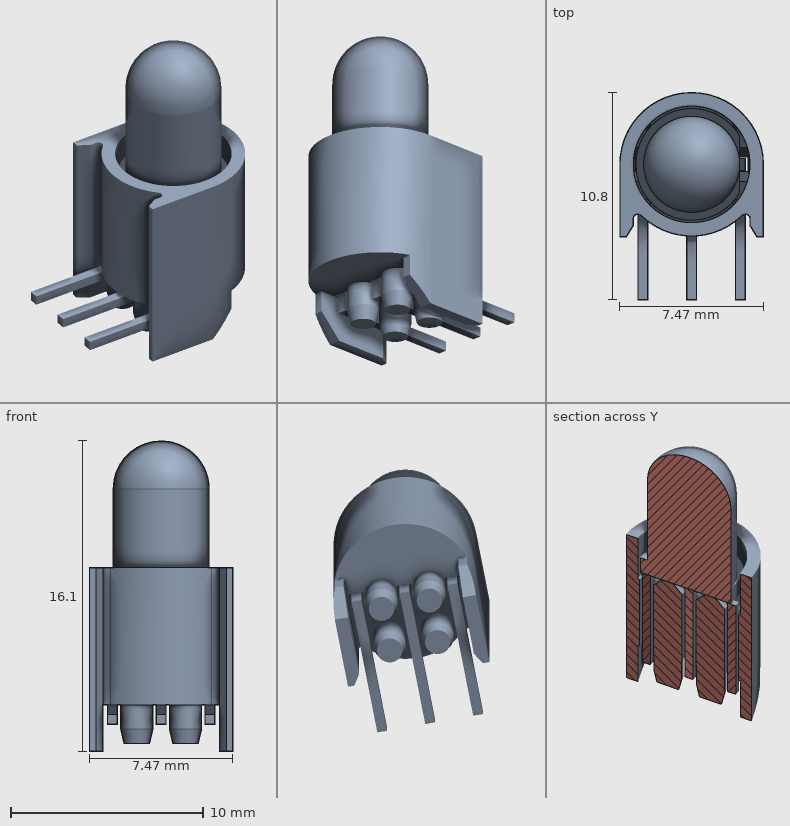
import cadquery as cq
import math

TOTAL_HEIGHT = 16.13
TOTAL_DEPTH = 10.77

LENS_RADIUS = 2.5
FLANGE_RADIUS = 2.9
FLANGE_THICKNESS = 1.0
FLANGE_FLAT_X = LENS_RADIUS

HOUSING_WIDTH = 7.47
HOUSING_RADIUS = HOUSING_WIDTH / 2
HOUSING_TOP = 9.55
HOUSING_BOTTOM = 2.42
BORE_RADIUS = 3.03
FLANGE_TOP_DEPTH = 1.23
FLANGE_TOP = HOUSING_TOP - FLANGE_TOP_DEPTH
FLOOR_TOP = FLANGE_TOP - FLANGE_THICKNESS

WING_INNER_X = BORE_RADIUS
WING_FRONT_Y = -3.77
WING_TIP_WIDTH = 0.34
WING_TIP_TAPER_LENGTH = 0.6
NOTCH_RADIUS = 0.25
FOOT_BACK_Y = 1.29
FOOT_CHAMFER = FOOT_BACK_Y

LEAD_PITCH = 2.53
LEAD_WIDTH = 0.52
LEAD_LEG_DEPTH = 0.63
LEAD_TOP = 1.92
LEAD_THICKNESS = LEAD_WIDTH
LEAD_END_Y = HOUSING_RADIUS - TOTAL_DEPTH
LEAD_POSITIONS = (-LEAD_PITCH, 0, LEAD_PITCH)

PEG_OFFSET_X = LEAD_PITCH / 2
PEG_ROWS_Y = (0, -2.34)
PEG_RADIUS = 0.84
PEG_TIP_RADIUS = 0.66
PEG_TAPER_TOP = 1.16
PEG_BOTTOM = 0.4

HOLE_WIDTH = 0.8
HOLE_DEPTH_Y = 0.75
FUNNEL_FLARE = 0.52
FUNNEL_HEIGHT = FUNNEL_FLARE

RAMP_INNER_X = 2.15
RAMP_INNER_Y = 1.82
RAMP_HEIGHT = 0.32


def cylinder(radius, bottom, top):
    return cq.Workplane("XY").workplane(offset=bottom).circle(radius).extrude(top - bottom)


def slab(x_range, y_range, z_range):
    """Box given by its lowest and highest coordinate along each axis."""
    sizes = [high - low for low, high in (x_range, y_range, z_range)]
    corner = (x_range[0], y_range[0], z_range[0])
    return cq.Workplane("XY").box(*sizes, centered=False).translate(corner)


def make_led():
    dome_center_z = TOTAL_HEIGHT - LENS_RADIUS
    profile = (
        cq.Workplane("XZ")
        .moveTo(0, FLOOR_TOP)
        .lineTo(FLANGE_RADIUS, FLOOR_TOP)
        .lineTo(FLANGE_RADIUS, FLANGE_TOP)
        .lineTo(LENS_RADIUS, FLANGE_TOP)
        .lineTo(LENS_RADIUS, dome_center_z)
        .radiusArc((0, TOTAL_HEIGHT), -LENS_RADIUS)
        .close()
    )
    body = profile.revolve(360, (0, 0, 0), (0, 1, 0))
    flat_cutter = slab(
        (FLANGE_FLAT_X, FLANGE_RADIUS),
        (-FLANGE_RADIUS, FLANGE_RADIUS),
        (FLOOR_TOP, FLANGE_TOP),
    )
    return body.cut(flat_cutter)


def make_wing():
    """Wing on the +X side over the full height, rounded into the housing wall by the notch."""
    notch_x = WING_INNER_X - NOTCH_RADIUS
    notch_distance = HOUSING_RADIUS + NOTCH_RADIUS
    notch_y = -math.sqrt(notch_distance**2 - notch_x**2)
    wall_ratio = HOUSING_RADIUS / notch_distance
    notch_start = (notch_x * wall_ratio, notch_y * wall_ratio)
    notch_top = (notch_x, notch_y + NOTCH_RADIUS)
    plan = (
        cq.Workplane("XY")
        .moveTo(HOUSING_RADIUS, 0)
        .lineTo(HOUSING_RADIUS, WING_FRONT_Y)
        .lineTo(HOUSING_RADIUS - WING_TIP_WIDTH, WING_FRONT_Y)
        .lineTo(WING_INNER_X, WING_FRONT_Y + WING_TIP_TAPER_LENGTH)
        .lineTo(WING_INNER_X, notch_y)
        .threePointArc(notch_top, notch_start)
        .lineTo(0, 0)
        .close()
    )
    return plan.extrude(HOUSING_TOP)


def make_foot_envelope():
    """Space below the housing that the wings may fill, chamfered at the back."""
    side_profile = (
        cq.Workplane("YZ")
        .moveTo(WING_FRONT_Y, 0)
        .lineTo(FOOT_BACK_Y - FOOT_CHAMFER, 0)
        .lineTo(FOOT_BACK_Y, FOOT_CHAMFER)
        .lineTo(FOOT_BACK_Y, HOUSING_BOTTOM)
        .lineTo(WING_FRONT_Y, HOUSING_BOTTOM)
        .close()
    )
    right = side_profile.extrude(HOUSING_RADIUS - WING_INNER_X).translate((WING_INNER_X, 0, 0))
    return right.union(right.mirror("YZ"))


def make_peg(x, y):
    shank = cylinder(PEG_RADIUS, PEG_TAPER_TOP, HOUSING_BOTTOM)
    tip = (
        cq.Workplane("XY")
        .workplane(offset=PEG_BOTTOM)
        .circle(PEG_TIP_RADIUS)
        .workplane(offset=PEG_TAPER_TOP - PEG_BOTTOM)
        .circle(PEG_RADIUS)
        .loft()
    )
    return shank.union(tip).translate((x, y, 0))


def make_lead_hole(x):
    """Straight hole with a four-sided funnel that ends at the bore wall."""
    hole = (
        cq.Workplane("XY")
        .workplane(offset=HOUSING_BOTTOM)
        .rect(HOLE_WIDTH, HOLE_DEPTH_Y)
        .extrude(FLOOR_TOP - HOUSING_BOTTOM)
    )
    funnel = (
        cq.Workplane("XY")
        .workplane(offset=FLOOR_TOP - FUNNEL_HEIGHT)
        .rect(HOLE_WIDTH, HOLE_DEPTH_Y)
        .workplane(offset=FUNNEL_HEIGHT)
        .rect(HOLE_WIDTH + 2 * FUNNEL_FLARE, HOLE_DEPTH_Y + 2 * FUNNEL_FLARE)
        .loft()
    )
    return hole.union(funnel).translate((x, 0, 0)).intersect(
        cylinder(BORE_RADIUS, HOUSING_BOTTOM, FLOOR_TOP)
    )


def make_ramps():
    """Sloped ring between flange and bore, kept only in its four corners."""
    ring = (
        cq.Workplane("XZ")
        .moveTo(FLANGE_RADIUS, FLOOR_TOP)
        .lineTo(BORE_RADIUS, FLOOR_TOP)
        .lineTo(BORE_RADIUS, FLOOR_TOP + RAMP_HEIGHT)
        .close()
        .revolve(360, (0, 0, 0), (0, 1, 0))
    )
    z_range = (FLOOR_TOP, FLOOR_TOP + RAMP_HEIGHT)
    right_corner = slab((RAMP_INNER_X, BORE_RADIUS), (RAMP_INNER_Y, BORE_RADIUS), z_range)
    back_corners = right_corner.union(right_corner.mirror("YZ"))
    return ring.intersect(back_corners.union(back_corners.mirror("XZ")))


def make_housing():
    wing = make_wing()
    body = cylinder(HOUSING_RADIUS, 0, HOUSING_TOP).union(wing).union(wing.mirror("YZ"))
    reach = 2 * HOUSING_RADIUS
    below = slab((-reach, reach), (-reach, reach), (0, HOUSING_BOTTOM))
    body = body.cut(below.cut(make_foot_envelope()))
    body = body.cut(cylinder(BORE_RADIUS, FLOOR_TOP, HOUSING_TOP))
    for x in (-PEG_OFFSET_X, PEG_OFFSET_X):
        for y in PEG_ROWS_Y:
            body = body.union(make_peg(x, y))
    for x in LEAD_POSITIONS:
        body = body.cut(make_lead_hole(x))
    return body.union(make_ramps())


def make_lead(x):
    """Bent lead: a leg up to the LED and a straight run toward -Y."""
    leg_back = LEAD_LEG_DEPTH / 2
    lead_bottom = LEAD_TOP - LEAD_THICKNESS
    profile = (
        cq.Workplane("YZ")
        .moveTo(leg_back, lead_bottom)
        .lineTo(leg_back, FLOOR_TOP)
        .lineTo(-leg_back, FLOOR_TOP)
        .lineTo(-leg_back, LEAD_TOP)
        .lineTo(LEAD_END_Y, LEAD_TOP)
        .lineTo(LEAD_END_Y, lead_bottom)
        .close()
    )
    return profile.extrude(LEAD_WIDTH / 2, both=True).translate((x, 0, 0))


led = make_led()
housing = make_housing()
leads = [make_lead(x) for x in LEAD_POSITIONS]

result = cq.Compound.makeCompound([led.val(), housing.val(), *[lead.val() for lead in leads]])